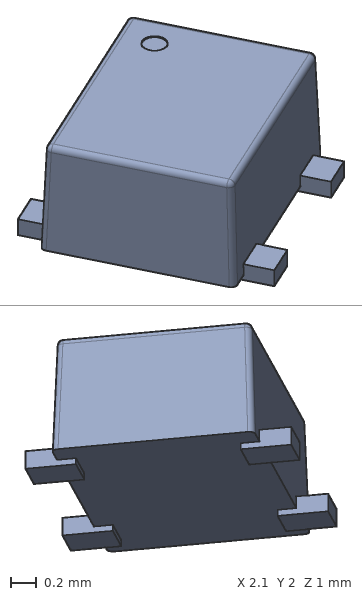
import cadquery as cq

span_x = 2.1
overall_height = 1.0

body_length_x = 1.6
body_length_y = 2.0
standoff = 0.05
draft_angle = 2.0
edge_radius = 0.05
body_height = overall_height - standoff

lead_length = 0.4
lead_width = 0.3
lead_thickness = 0.15
lead_pitch = 1.3

mark_radius = 0.1
mark_x = -0.45
mark_y = 0.65
mark_depth = 0.01


def make_body():
    """Drafted block with rounded corners and a rounded top rim."""
    block = (
        cq.Workplane("XY", origin=(0, 0, standoff))
        .rect(body_length_x, body_length_y)
        .extrude(body_height, taper=draft_angle)
    )
    return block.edges("not <Z").fillet(edge_radius)


def make_leads():
    """Four rectangular leads resting on Z = 0."""
    lead_center_spacing = span_x - lead_length
    return (
        cq.Workplane("XY")
        .rarray(lead_center_spacing, lead_pitch, 2, 2)
        .rect(lead_length, lead_width)
        .extrude(lead_thickness)
    )


def make_mark():
    """Shallow disc to cut from the top face."""
    return (
        cq.Workplane("XY", origin=(mark_x, mark_y, overall_height - mark_depth))
        .circle(mark_radius)
        .extrude(mark_depth)
    )


result = make_body().union(make_leads()).cut(make_mark())